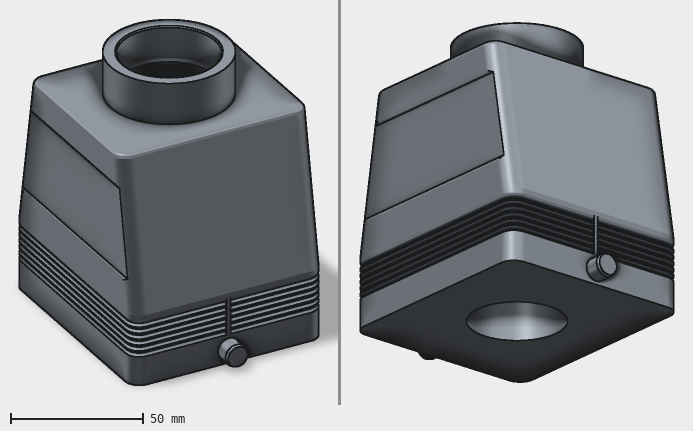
import cadquery as cq
import math

body_length = 93.7
body_width = 82.5
body_height = 93.9
corner_radius = 6.0
taper_start = 30.0
taper_angle = 10.0
top_fillet = 2.0

total_height = 111.5
collar_diameter = 50.2
bore_diameter = 38.1
entry_diameter = 39.7
entry_depth = 13.3
entry_chamfer = 0.6
ledge_height = 1.6

groove_count = 6
groove_pitch = 2.6
groove_depth = 1.06
grooves_bottom = 12.3
top_groove_radius = 1.7
bridge_width = 1.8

panel_bottom = 44.0
panel_top = 80.1
panel_depth = 0.8
panel_edge_radius = 1.7

pin_span = 108.0
pin_diameter = 9.3
pin_height = 6.0
pin_bevel_length = 1.3
pin_bevel_depth = 0.5

flank_angle = 45.0

overshoot = 0.1

half_length = body_length / 2
half_width = body_width / 2
half_top = half_length - (body_height - taper_start) * math.tan(math.radians(taper_angle))


def make_body():
    """Block that narrows along X above the skirt, with rounded corners and top rim."""
    outline = [
        (-half_length, 0),
        (half_length, 0),
        (half_length, taper_start),
        (half_top, body_height),
        (-half_top, body_height),
        (-half_length, taper_start),
    ]
    body = cq.Workplane("XZ").polyline(outline).close().extrude(half_width, both=True)
    body = body.faces("<Y or >Y").edges("not |X").fillet(corner_radius)
    return body.faces(">Z").edges().fillet(top_fillet)


def wall_point(depth, height):
    """Point in the YZ plane at a depth into the -Y wall."""
    return (depth - half_width, height)


def fillet_reach(radius):
    """Distance from a 45 degree edge to the start of its fillet."""
    return radius * math.tan(math.radians(flank_angle / 2))


def fillet_point(radius, tangent_height, angle, direction):
    """Point on the arc that turns from the wall, at tangent_height, into a 45 degree flank."""
    turn = math.radians(angle)
    depth = radius * (1 - math.cos(turn))
    return wall_point(depth, tangent_height + direction * radius * math.sin(turn))


def make_groove_ring(valley_height, upper_radius=0):
    """Ring that cuts one groove all around the skirt, optionally with a rounded upper edge."""
    mouth = groove_depth + overshoot
    profile = (
        cq.Workplane("YZ")
        .moveTo(*wall_point(-overshoot, valley_height - mouth))
        .lineTo(*wall_point(groove_depth, valley_height))
    )
    if upper_radius:
        tangent_height = valley_height + groove_depth + fillet_reach(upper_radius)
        profile = (
            profile.lineTo(*fillet_point(upper_radius, tangent_height, flank_angle, -1))
            .threePointArc(
                fillet_point(upper_radius, tangent_height, flank_angle / 2, -1),
                wall_point(0, tangent_height),
            )
            .lineTo(*wall_point(-overshoot, tangent_height))
        )
    else:
        profile = profile.lineTo(*wall_point(-overshoot, valley_height + mouth))

    skirt = cq.Workplane("XY").rect(body_length, body_width).extrude(taper_start)
    path = skirt.edges("|Z").fillet(corner_radius).faces("<Z").wires()
    return profile.close().sweep(path)


def cut_grooves(body):
    """Cut the stack of grooves, leaving an upright bridge on each tapered side."""
    bridges = cq.Workplane("XY").box(2 * body_length, bridge_width, 2 * body_height)
    for index in range(groove_count):
        valley_height = grooves_bottom + groove_depth + index * groove_pitch
        upper_radius = top_groove_radius if index == groove_count - 1 else 0
        body = body.cut(make_groove_ring(valley_height, upper_radius).cut(bridges))
    return body


def cut_panels(body):
    """Recess a band across both broad sides, with rounded outer edges on its steps."""
    reach = panel_depth + fillet_reach(panel_edge_radius)
    low = panel_bottom - reach
    high = panel_top + reach
    panel = (
        cq.Workplane("YZ")
        .moveTo(*wall_point(-overshoot, low))
        .lineTo(*wall_point(0, low))
        .threePointArc(
            fillet_point(panel_edge_radius, low, flank_angle / 2, 1),
            fillet_point(panel_edge_radius, low, flank_angle, 1),
        )
        .lineTo(*wall_point(panel_depth, panel_bottom))
        .lineTo(*wall_point(panel_depth, panel_top))
        .lineTo(*fillet_point(panel_edge_radius, high, flank_angle, -1))
        .threePointArc(
            fillet_point(panel_edge_radius, high, flank_angle / 2, -1),
            wall_point(0, high),
        )
        .lineTo(*wall_point(-overshoot, high))
        .close()
        .extrude(half_length, both=True)
    )
    return body.cut(panel).cut(panel.mirror("XZ"))


def add_collar(body):
    """Round collar on the flat top, standing on the body centre."""
    collar_height = total_height - body_height
    collar = (
        cq.Workplane("XY", origin=(0, 0, body_height))
        .circle(collar_diameter / 2)
        .extrude(collar_height)
    )
    return body.union(collar)


def cut_bore(body):
    """Through bore with a wider entry above a concave ledge."""
    bore_radius = bore_diameter / 2
    entry_radius = entry_diameter / 2
    mouth_radius = entry_radius + entry_chamfer
    ledge_top = total_height - entry_depth
    bore = (
        cq.Workplane("XZ")
        .moveTo(0, total_height)
        .lineTo(mouth_radius, total_height)
        .lineTo(entry_radius, total_height - entry_chamfer)
        .lineTo(entry_radius, ledge_top)
        .tangentArcPoint((bore_radius, ledge_top - ledge_height), relative=False)
        .lineTo(bore_radius, 0)
        .lineTo(0, 0)
        .close()
        .revolve(360, (0, 0), (0, 1))
    )
    return body.cut(bore)


def add_pins(body):
    """Locking pin with a slightly conical tip on each tapered side."""
    pin_radius = pin_diameter / 2
    tip_radius = pin_radius - pin_bevel_depth
    half_span = pin_span / 2
    bevel_start = half_span - pin_bevel_length
    root = half_length - corner_radius
    profile = [
        (root, 0),
        (root, pin_radius),
        (bevel_start, pin_radius),
        (half_span, tip_radius),
        (half_span, 0),
    ]
    pin = (
        cq.Workplane("XY")
        .polyline(profile)
        .close()
        .revolve(360, (0, 0), (1, 0))
        .translate((0, 0, pin_height))
    )
    return body.union(pin).union(pin.mirror("YZ"))


result = make_body()
result = cut_grooves(result)
result = cut_panels(result)
result = add_collar(result)
result = cut_bore(result)
result = add_pins(result)